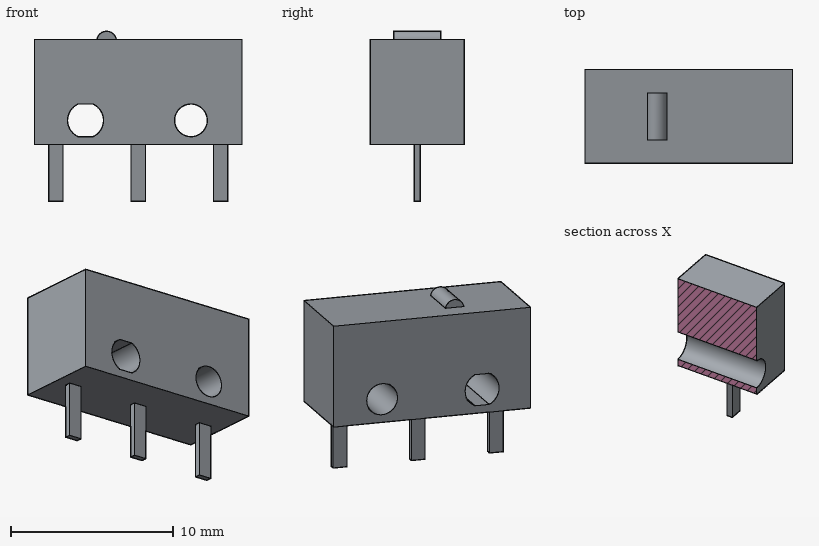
import cadquery as cq

BODY_LENGTH = 12.8
BODY_WIDTH = 5.8
BODY_HEIGHT = 6.5

HOLE_SPACING = 6.5
HOLE_HEIGHT = 1.5
HOLE_DIAMETER = 2.0
WIDE_HOLE_DIAMETER = 2.2

TERMINAL_PITCH = 5.08
TERMINAL_COUNT = 3
TERMINAL_WIDTH = 0.9
TERMINAL_THICKNESS = 0.4
TERMINAL_LENGTH = 3.5

PLUNGER_X = -1.95
PLUNGER_WIDTH = 1.2
PLUNGER_LENGTH = 2.9
PLUNGER_RISE = 0.5


def housing():
    return cq.Workplane("XY").box(BODY_LENGTH, BODY_WIDTH, BODY_HEIGHT, centered=(True, True, False))


def through_cylinder(x, diameter):
    """Cylinder along Y at mounting-hole height, as deep as the housing."""
    return (
        cq.Workplane("XZ")
        .center(x, HOLE_HEIGHT)
        .circle(diameter / 2)
        .extrude(BODY_WIDTH / 2, both=True)
    )


def flattened_hole(x):
    """Widened hole whose top and bottom are cut flat at the round hole's diameter."""
    flats = (
        cq.Workplane("XZ")
        .center(x, HOLE_HEIGHT)
        .rect(WIDE_HOLE_DIAMETER, HOLE_DIAMETER)
        .extrude(BODY_WIDTH / 2, both=True)
    )
    return through_cylinder(x, WIDE_HOLE_DIAMETER).intersect(flats)


def terminals():
    return (
        cq.Workplane("XY")
        .rarray(TERMINAL_PITCH, 1, TERMINAL_COUNT, 1)
        .rect(TERMINAL_WIDTH, TERMINAL_THICKNESS)
        .extrude(-TERMINAL_LENGTH)
    )


def plunger():
    """Rounded bar along Y, a circular segment in cross-section."""
    half_width = PLUNGER_WIDTH / 2
    return (
        cq.Workplane("XZ")
        .center(PLUNGER_X, BODY_HEIGHT)
        .moveTo(-half_width, 0)
        .threePointArc((0, PLUNGER_RISE), (half_width, 0))
        .close()
        .extrude(PLUNGER_LENGTH / 2, both=True)
    )


flattened_hole_x = -HOLE_SPACING / 2
round_hole_x = HOLE_SPACING / 2

result = (
    housing()
    .cut(flattened_hole(flattened_hole_x))
    .cut(through_cylinder(round_hole_x, HOLE_DIAMETER))
    .union(terminals())
    .union(plunger())
)